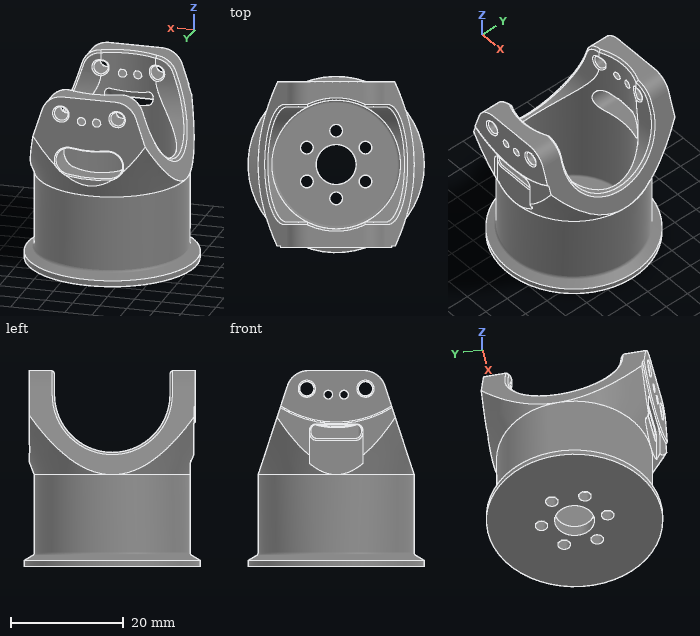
import cadquery as cq
import math

TOTAL_HEIGHT = 34.8
EPS = 0.01

FLANGE_RADIUS = 15.65
FLANGE_THICKNESS = 1.13
SHOULDER_ANGLE = 30.0
SHOULDER_FILLET = 0.5
BODY_RADIUS = 13.85
BODY_TOP = 16.3

FLARE_ANGLE = 21.5
YOKE_HALF_DEPTH = 14.72
YOKE_SIDE_TAPER = 18.2
YOKE_CORNER_RADIUS = 4.0

BORE_RADIUS = 11.4
FLOOR_THICKNESS = 2.4
FLOOR_FILLET = 0.5

SADDLE_RADIUS = 10.22
SADDLE_AXIS_HEIGHT = 30.5
MOUTH_CHAMFER = 0.43

CENTRE_HOLE_DIAMETER = 7.05
FLOOR_HOLE_COUNT = 6
FLOOR_HOLE_DIAMETER = 2.2
FLOOR_HOLE_CIRCLE_RADIUS = 6.0

LARGE_HOLE_DIAMETER = 2.5
LARGE_HOLE_SPACING = 10.4
LARGE_HOLE_HEIGHT = 31.55
LARGE_HOLE_CHAMFER = 0.27
SMALL_HOLE_DIAMETER = 1.5
SMALL_HOLE_SPACING = 2.8
SMALL_HOLE_HEIGHT = SADDLE_AXIS_HEIGHT

RELIEF_DEPTH = 0.26
RELIEF_ARC_RADIUS = 18.37
RELIEF_ARC_HEIGHT = 44.0
RELIEF_BEVEL = RELIEF_DEPTH

WINDOW_WIDTH = 9.0
WINDOW_HEIGHT = 1.88
WINDOW_ANGLE = 40.0
WINDOW_MID_HEIGHT = 23.85
WINDOW_REACH = 5.0
WINDOW_CHAMFER = 0.22
POCKET_WIDTH = 9.54
POCKET_TOP = 25.33
POCKET_CORNER_RADIUS = 1.25

SLOT_ARC_HEIGHT = RELIEF_ARC_HEIGHT
SLOT_ARC_RADIUS = 21.6
SLOT_WIDTH = 4.95
SLOT_HALF_ANGLE = 9.8
SLOT_CHAMFER = 0.25


def make_base():
    """Flange, 30 degree shoulder with a filleted root, and body cylinder."""
    shoulder_top = FLANGE_THICKNESS + (FLANGE_RADIUS - BODY_RADIUS) * math.tan(math.radians(SHOULDER_ANGLE))
    profile = (
        cq.Workplane("XZ")
        .moveTo(0, 0)
        .lineTo(FLANGE_RADIUS, 0)
        .lineTo(FLANGE_RADIUS, FLANGE_THICKNESS)
        .lineTo(BODY_RADIUS, shoulder_top)
        .lineTo(BODY_RADIUS, BODY_TOP)
        .lineTo(0, BODY_TOP)
        .close()
    )
    base = profile.revolve(360, (0, 0, 0), (0, 1, 0))
    root = cq.selectors.BoxSelector(
        (-FLANGE_RADIUS, -FLANGE_RADIUS, shoulder_top - EPS),
        (FLANGE_RADIUS, FLANGE_RADIUS, shoulder_top + EPS),
    )
    return base.edges(root).fillet(SHOULDER_FILLET)


def make_yoke():
    """Upward-flaring cone trimmed by two flat ear faces and two tapered sides."""
    height = TOTAL_HEIGHT - BODY_TOP
    top_radius = BODY_RADIUS + height * math.tan(math.radians(FLARE_ANGLE))
    flare = cq.Workplane(cq.Solid.makeCone(BODY_RADIUS, top_radius, height, cq.Vector(0, 0, BODY_TOP)))
    top_half_width = BODY_RADIUS - height * math.tan(math.radians(YOKE_SIDE_TAPER))
    outline = (
        cq.Workplane("XZ")
        .moveTo(-BODY_RADIUS, BODY_TOP)
        .lineTo(BODY_RADIUS, BODY_TOP)
        .lineTo(top_half_width, TOTAL_HEIGHT)
        .lineTo(-top_half_width, TOTAL_HEIGHT)
        .close()
        .extrude(YOKE_HALF_DEPTH, both=True)
        .edges("|Y and >Z")
        .fillet(YOKE_CORNER_RADIUS)
    )
    return flare.intersect(outline)


def make_bore():
    """Blind bore from the top, rounded at the floor."""
    return (
        cq.Workplane("XY", origin=(0, 0, FLOOR_THICKNESS))
        .circle(BORE_RADIUS)
        .extrude(TOTAL_HEIGHT)
        .faces("<Z")
        .edges()
        .fillet(FLOOR_FILLET)
    )


def make_saddle():
    """Round-bottomed channel along X, open at the top."""
    channel = (
        cq.Workplane("YZ", origin=(0, 0, SADDLE_AXIS_HEIGHT))
        .moveTo(-SADDLE_RADIUS, 0)
        .threePointArc((0, -SADDLE_RADIUS), (SADDLE_RADIUS, 0))
        .lineTo(SADDLE_RADIUS, TOTAL_HEIGHT)
        .lineTo(-SADDLE_RADIUS, TOTAL_HEIGHT)
        .close()
    )
    return channel.extrude(FLANGE_RADIUS, both=True)


def bevel_saddle(yoke):
    """Bevel every edge where the saddle leaves the yoke's top and sides."""
    inner = SADDLE_RADIUS + EPS
    saddle_span = cq.selectors.BoxSelector(
        (-FLANGE_RADIUS, -inner, BODY_TOP + EPS),
        (FLANGE_RADIUS, inner, TOTAL_HEIGHT + EPS),
        boundingbox=True,
    )
    tangent_to_ears = cq.selectors.BoxSelector(
        (-FLANGE_RADIUS, -inner, SADDLE_AXIS_HEIGHT - EPS),
        (FLANGE_RADIUS, inner, SADDLE_AXIS_HEIGHT + EPS),
        boundingbox=True,
    )
    return yoke.edges(saddle_span - tangent_to_ears).chamfer(MOUTH_CHAMFER)


def make_bore_bevel():
    """Cone that bevels the bore where it reaches the top of the ears."""
    return cq.Workplane(
        cq.Solid.makeCone(
            BORE_RADIUS,
            BORE_RADIUS + MOUTH_CHAMFER,
            MOUTH_CHAMFER,
            cq.Vector(0, 0, TOTAL_HEIGHT - MOUTH_CHAMFER),
        )
    )


def make_floor_holes():
    """Centre hole and the ring of screw holes around it."""
    centre = cq.Workplane("XY").circle(CENTRE_HOLE_DIAMETER / 2).extrude(BODY_TOP)
    ring = (
        cq.Workplane("XY")
        .polarArray(FLOOR_HOLE_CIRCLE_RADIUS, 90, 360, FLOOR_HOLE_COUNT)
        .circle(FLOOR_HOLE_DIAMETER / 2)
        .extrude(BODY_TOP)
    )
    return centre.union(ring)


def make_ear_holes(diameter, spacing, height):
    """Pair of holes along Y through both ears."""
    return (
        cq.Workplane("XZ", origin=(0, 0, height))
        .pushPoints([(-spacing / 2, 0), (spacing / 2, 0)])
        .circle(diameter / 2)
        .extrude(FLANGE_RADIUS, both=True)
    )


def make_relief():
    """Thin layer removed from the -Y ear below a bevelled arc."""
    layer = cq.Workplane("XY").box(
        2 * FLANGE_RADIUS, RELIEF_DEPTH, TOTAL_HEIGHT - BODY_TOP, centered=(True, False, False)
    ).translate((0, -YOKE_HALF_DEPTH, BODY_TOP))
    kept_disc = cq.Solid.makeCone(
        RELIEF_ARC_RADIUS,
        RELIEF_ARC_RADIUS + RELIEF_BEVEL,
        RELIEF_DEPTH,
        cq.Vector(0, -YOKE_HALF_DEPTH, RELIEF_ARC_HEIGHT),
        cq.Vector(0, 1, 0),
    )
    return layer.cut(cq.Workplane(kept_disc))


def make_pocket():
    """Flat around and under the -Y window, level with the body wall."""
    return (
        cq.Workplane("XY", origin=(0, -BODY_RADIUS, BODY_TOP))
        .box(POCKET_WIDTH, FLANGE_RADIUS, POCKET_TOP - BODY_TOP, centered=(True, False, False))
        .translate((0, -FLANGE_RADIUS, 0))
        .edges("|Y and >Z")
        .fillet(POCKET_CORNER_RADIUS)
    )


def make_window():
    """Obround window through the -Y wall, rising towards the bore."""
    return (
        cq.Workplane("XZ")
        .slot2D(WINDOW_WIDTH, WINDOW_HEIGHT)
        .extrude(WINDOW_REACH, both=True)
        .rotate((0, 0, 0), (1, 0, 0), WINDOW_ANGLE)
        .translate((0, -BODY_RADIUS, WINDOW_MID_HEIGHT))
    )


def slot_point(radius, angle):
    """Point in XZ at an angle from straight down about the slot's arc centre."""
    turn = math.radians(angle)
    return (radius * math.sin(turn), SLOT_ARC_HEIGHT - radius * math.cos(turn))


def slot_outline(widening, y):
    """Closed round-ended outline along the slot's arc, in the plane at y."""
    half_width = SLOT_WIDTH / 2 + widening
    upper = SLOT_ARC_RADIUS - half_width
    lower = SLOT_ARC_RADIUS + half_width
    cap_angle = SLOT_HALF_ANGLE + math.degrees(2 * math.asin(half_width / SLOT_ARC_RADIUS / 2))
    return (
        cq.Workplane("XZ", origin=(0, y, 0))
        .moveTo(*slot_point(upper, -SLOT_HALF_ANGLE))
        .threePointArc(slot_point(upper, 0), slot_point(upper, SLOT_HALF_ANGLE))
        .threePointArc(slot_point(SLOT_ARC_RADIUS, cap_angle), slot_point(lower, SLOT_HALF_ANGLE))
        .threePointArc(slot_point(lower, 0), slot_point(lower, -SLOT_HALF_ANGLE))
        .threePointArc(slot_point(SLOT_ARC_RADIUS, -cap_angle), slot_point(upper, -SLOT_HALF_ANGLE))
        .close()
    )


def make_curved_slot():
    """Arc-shaped slot through the +Y wall, flared at 45 degrees on the outside."""
    passage = slot_outline(0, 0).extrude(-FLANGE_RADIUS)
    flare = slot_outline(SLOT_CHAMFER, YOKE_HALF_DEPTH).extrude(SLOT_CHAMFER, taper=45)
    return passage.union(flare)


def bevel_large_holes(part):
    """Bevel both ends of the large holes in each ear."""
    reach = LARGE_HOLE_DIAMETER / 2 + EPS
    along_y = cq.selectors.ParallelDirSelector(cq.Vector(0, 1, 0))
    rims = []
    for side in (-1, 1):
        x = side * LARGE_HOLE_SPACING / 2
        around_hole = cq.selectors.BoxSelector(
            (x - reach, -FLANGE_RADIUS, LARGE_HOLE_HEIGHT - reach),
            (x + reach, FLANGE_RADIUS, LARGE_HOLE_HEIGHT + reach),
            boundingbox=True,
        )
        rims += part.edges(around_hole - along_y).vals()
    return part.newObject(rims).chamfer(LARGE_HOLE_CHAMFER)


def bevel_window(part):
    """Bevel the window's outer rim on the pocket floor."""
    around_rim = cq.selectors.BoxSelector(
        (-WINDOW_WIDTH / 2 - EPS, -BODY_RADIUS - EPS, BODY_TOP),
        (WINDOW_WIDTH / 2 + EPS, -BODY_RADIUS + EPS, POCKET_TOP - EPS),
        boundingbox=True,
    )
    return part.edges(around_rim).chamfer(WINDOW_CHAMFER)


yoke = bevel_saddle(make_yoke().cut(make_saddle()))
result = make_base().union(yoke).cut(make_bore()).cut(make_bore_bevel())

result = result.cut(make_floor_holes())
result = result.cut(make_ear_holes(SMALL_HOLE_DIAMETER, SMALL_HOLE_SPACING, SMALL_HOLE_HEIGHT))
result = result.cut(make_ear_holes(LARGE_HOLE_DIAMETER, LARGE_HOLE_SPACING, LARGE_HOLE_HEIGHT))
result = bevel_large_holes(result)

result = result.cut(make_relief()).cut(make_pocket()).cut(make_window())
result = bevel_window(result)
result = result.cut(make_curved_slot())